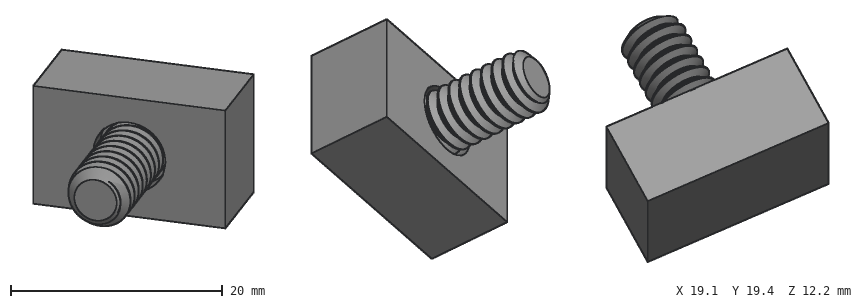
import cadquery as cq

block_width = 19.05
block_depth = 8.9
block_height = 12.18
recess_diameter = 7.15
recess_depth = 2.18

overall_length = 19.43
screw_length = overall_length - block_depth + recess_depth
thread_turns = 10
pitch = screw_length / thread_turns
major_radius = 3.17
root_radius = 2.37
crest_width = pitch / 8
root_width = pitch / 8
tip_radius = 2.1
tip_length = 0.8
crest_offset = 0.04
root_overlap = 0.02
overrun_turns = 2
trim_margin = 0.2

front_y = -block_depth
floor_y = front_y + recess_depth


def make_block():
    """Rectangular block with a blind round recess in its front face."""
    block = cq.Workplane("XY").box(block_width, block_depth, block_height)
    block = block.translate((0, -block_depth / 2, 0))
    recess = cq.Workplane("XZ", origin=(0, floor_y, 0)).circle(recess_diameter / 2).extrude(recess_depth)
    return block.cut(recess)


def make_thread_ridge():
    """Helical trapezoid ridge bounded by ruled faces, overrunning both ends of the stud."""
    base_radius = root_radius - root_overlap
    flank_slope = (pitch - root_width - crest_width) / 2 / (major_radius - root_radius)
    crest_half = crest_width / 2
    base_half = crest_half + flank_slope * (major_radius - base_radius)
    corners = [
        (base_radius, -base_half),
        (major_radius, -crest_half),
        (major_radius, crest_half),
        (base_radius, base_half),
    ]
    turns = thread_turns + 2 * overrun_turns
    ridge_length = turns * pitch
    edges = [
        cq.Wire.makeHelix(pitch, ridge_length, radius).translate(cq.Vector(0, 0, height))
        for radius, height in corners
    ]
    faces = [
        cq.Face.makeRuledSurface(edge, next_edge)
        for edge, next_edge in zip(edges, edges[1:] + edges[:1])
    ]
    for end in (0, ridge_length):
        points = [cq.Vector(radius, 0, end + height) for radius, height in corners]
        faces.append(cq.Face.makeFromWires(cq.Wire.makePolygon(points, close=True)))
    ridge = cq.Solid.makeSolid(cq.Shell.makeShell(faces))
    start = recess_depth + crest_offset + pitch / 2 - (overrun_turns + 1) * pitch
    return cq.Workplane(obj=ridge).translate((0, 0, start))


def make_threaded_rod():
    """Core with its thread ridge, cut square at both ends, standing on the XY plane."""
    core_overrun = (overrun_turns + 1) * pitch
    core = (
        cq.Workplane("XY", origin=(0, 0, -core_overrun))
        .circle(root_radius)
        .extrude(screw_length + 2 * core_overrun)
    )
    side = 2 * (major_radius + trim_margin)
    length_limits = cq.Workplane("XY").rect(side, side).extrude(screw_length)
    return core.union(make_thread_ridge(), clean=False).intersect(length_limits, clean=False)


def make_tip_trim():
    """Ring outside the conical tip of the stud."""
    outer_radius = major_radius + trim_margin
    slope = (major_radius - tip_radius) / tip_length
    outer_start = screw_length - tip_length - trim_margin / slope
    inner_end = tip_radius - trim_margin * slope
    return (
        cq.Workplane("XZ")
        .polyline([
            (outer_radius, outer_start),
            (outer_radius, screw_length + trim_margin),
            (inner_end, screw_length + trim_margin),
        ])
        .close()
        .revolve(360, (0, 0, 0), (0, 1, 0))
    )


def make_screw():
    """Threaded stud seated on the recess floor and pointing toward -Y."""
    screw = make_threaded_rod().cut(make_tip_trim(), clean=False)
    return screw.rotate((0, 0, 0), (1, 0, 0), 90).translate((0, floor_y, 0))


block = make_block()
screw = make_screw()
result = cq.Compound.makeCompound([block.val(), *screw.vals()])